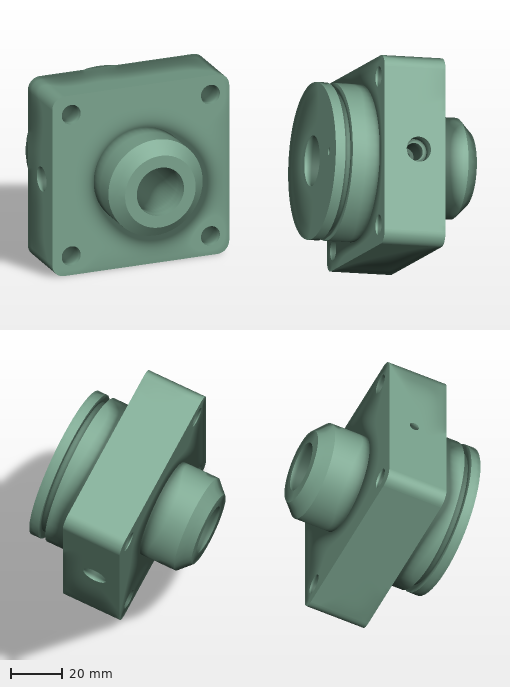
import cadquery as cq

plate_side = 75.0
plate_thickness = 25.0
corner_radius = 5.0

spigot_diameter = 62.0
rim_width = 4.0
ring_groove_width = 3.0
ring_groove_diameter = 55.8
spigot_length = 18.0
nose_diameter = 40.0
nose_length = 20.0
nose_chamfer = 5.0
plate_end = spigot_length + plate_thickness
total_length = plate_end + nose_length

bore_diameter = 20.0
bore_groove_start = 6.0
bore_groove_width = 5.0
bore_groove_diameter = 26.0

bolt_diameter = 8.0
bolt_spacing = 59.0

port_x = spigot_length + 14.0
port_diameter = 10.0
port_depth = 6.0
port_step_diameter = 7.0
port_step_depth = 18.0
cross_hole_diameter = 4.0
passage_diameter = 3.0
passage_offset = 22.0


def cylinder_x(diameter, start, length, y=0, z=0):
    """Cylinder along +X from X = start."""
    return cq.Workplane("YZ", origin=(start, y, z)).circle(diameter / 2).extrude(length)


def cylinder_from_front(diameter, depth):
    """Cylinder on the port axis, running inward from the -Y side face."""
    face = cq.Workplane("XZ", origin=(port_x, -plate_side / 2, 0))
    return face.circle(diameter / 2).extrude(-depth)


plate = (
    cq.Workplane("YZ", origin=(spigot_length, 0, 0))
    .rect(plate_side, plate_side)
    .extrude(plate_thickness)
    .edges("|X")
    .fillet(corner_radius)
)
spigot = cylinder_x(spigot_diameter, 0, spigot_length)
ring_groove = cylinder_x(spigot_diameter, rim_width, ring_groove_width).cut(
    cylinder_x(ring_groove_diameter, rim_width, ring_groove_width)
)
nose = cylinder_x(nose_diameter, plate_end, nose_length).faces(">X").chamfer(nose_chamfer)
body = plate.union(spigot.cut(ring_groove)).union(nose)

body = body.cut(cylinder_x(bore_diameter, 0, total_length))
body = body.cut(cylinder_x(bore_groove_diameter, bore_groove_start, bore_groove_width))

for y in (-bolt_spacing / 2, bolt_spacing / 2):
    for z in (-bolt_spacing / 2, bolt_spacing / 2):
        body = body.cut(cylinder_x(bolt_diameter, spigot_length, plate_thickness, y, z))

for diameter, depth in (
    (port_diameter, port_depth),
    (port_step_diameter, port_step_depth),
    (cross_hole_diameter, plate_side),
):
    body = body.cut(cylinder_from_front(diameter, depth))

body = body.cut(cylinder_x(passage_diameter, 0, port_x, y=-passage_offset))

result = body